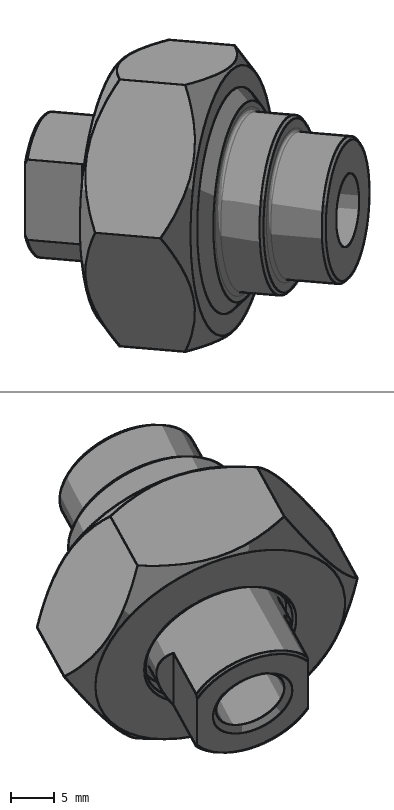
import cadquery as cq
import math

overall_length = 37.0
nut_start_x = 9.5
nut_end_x = 22.98
lip_thickness = 2.22
joint_x = 16.65
neck_start_x = 24.45
spigot_start_x = 30.05
collar_start_x = nut_start_x + lip_thickness

through_bore_diameter = 8.6
thread_diameter = 26.4

nut_across_flats = 32.0
nut_corner_diameter = nut_across_flats / math.cos(math.pi / 6)
nut_face_diameter = 31.45
nut_lip_bore_diameter = 18.5
nut_lip_chamfer = 0.35

tail_diameter = 17.0
tail_end_chamfer = 0.3
tail_fillet = 0.4
bore_mouth_chamfer = 0.7
flats_width = 14.0
flats_length = 6.95
runout_clearance = 0.37

body_neck_diameter = 21.0
body_neck_chamfer = 0.37
body_neck_fillet = 0.5
spigot_diameter = 17.2
spigot_chamfer = 0.37
spigot_fillet = 0.4


def cylinder(start_x, end_x, diameter):
    """Solid cylinder on the X axis between two positions."""
    return cq.Workplane("YZ", origin=(start_x, 0, 0)).circle(diameter / 2).extrude(end_x - start_x)


def revolve_about_x(profile):
    """Turn a closed XY profile about the X axis."""
    return profile.close().revolve(360, (0, 0, 0), (1, 0, 0))


def make_nut():
    """Hexagon with 45 degree conical corners, a lip bore and a thread bore."""
    corner_radius = nut_corner_diameter / 2
    face_radius = nut_face_diameter / 2
    corner_chamfer = corner_radius - face_radius
    hexagon = (
        cq.Workplane("YZ", origin=(nut_start_x, 0, 0))
        .polygon(6, nut_corner_diameter)
        .extrude(nut_end_x - nut_start_x)
    )
    turned_envelope = cylinder(nut_start_x, nut_end_x, nut_corner_diameter).edges().chamfer(corner_chamfer)
    nut = hexagon.intersect(turned_envelope)
    nut = nut.cut(cylinder(nut_start_x, nut_end_x, nut_lip_bore_diameter))
    nut = nut.faces("<X").edges("%CIRCLE").edges(cq.selectors.RadiusNthSelector(0)).chamfer(nut_lip_chamfer)
    return nut.cut(cylinder(collar_start_x, nut_end_x, thread_diameter))


def cut_wrench_flats(tailpiece):
    """Two opposite flats on the tail, each running out at 45 degrees."""
    flat_half_width = flats_width / 2
    runout = tail_diameter / 2 - flat_half_width + runout_clearance
    for side in (1, -1):
        cutter = (
            cq.Workplane("XY")
            .moveTo(0, side * flat_half_width)
            .lineTo(flats_length, side * flat_half_width)
            .lineTo(flats_length + runout, side * (flat_half_width + runout))
            .lineTo(0, side * (flat_half_width + runout))
            .close()
            .extrude(tail_diameter / 2, both=True)
        )
        tailpiece = tailpiece.cut(cutter)
    return tailpiece


def make_tailpiece():
    """Round tail with wrench flats and a collar held behind the nut lip."""
    tail_radius = tail_diameter / 2
    profile = (
        cq.Workplane("XY")
        .lineTo(0, tail_radius - tail_end_chamfer)
        .lineTo(tail_end_chamfer, tail_radius)
        .lineTo(collar_start_x - tail_fillet, tail_radius)
        .radiusArc((collar_start_x, tail_radius + tail_fillet), -tail_fillet)
        .lineTo(collar_start_x, thread_diameter / 2)
        .lineTo(joint_x, thread_diameter / 2)
        .lineTo(joint_x, 0)
    )
    tailpiece = cut_wrench_flats(revolve_about_x(profile))
    tailpiece = tailpiece.cut(cylinder(0, joint_x, through_bore_diameter))
    mouth_radius = through_bore_diameter / 2 + bore_mouth_chamfer
    mouth = cq.Solid.makeCone(
        mouth_radius, through_bore_diameter / 2, bore_mouth_chamfer, cq.Vector(0, 0, 0), cq.Vector(1, 0, 0)
    )
    return tailpiece.cut(cq.Workplane(mouth))


def make_threaded_body():
    """Stepped body with a 45 degree shoulder, filleted neck and end spigot."""
    thread_radius = thread_diameter / 2
    neck_radius = body_neck_diameter / 2
    spigot_radius = spigot_diameter / 2
    shoulder_radius = thread_radius - (neck_start_x - nut_end_x)
    profile = (
        cq.Workplane("XY")
        .moveTo(joint_x, 0)
        .lineTo(joint_x, thread_radius)
        .lineTo(nut_end_x, thread_radius)
        .lineTo(neck_start_x, shoulder_radius)
        .lineTo(neck_start_x, neck_radius + body_neck_fillet)
        .radiusArc((neck_start_x + body_neck_fillet, neck_radius), -body_neck_fillet)
        .lineTo(spigot_start_x - body_neck_chamfer, neck_radius)
        .lineTo(spigot_start_x, neck_radius - body_neck_chamfer)
        .lineTo(spigot_start_x, spigot_radius + spigot_fillet)
        .radiusArc((spigot_start_x + spigot_fillet, spigot_radius), -spigot_fillet)
        .lineTo(overall_length - spigot_chamfer, spigot_radius)
        .lineTo(overall_length, spigot_radius - spigot_chamfer)
        .lineTo(overall_length, 0)
    )
    body = revolve_about_x(profile)
    return body.cut(cylinder(joint_x, overall_length, through_bore_diameter))


nut = make_nut()
tailpiece = make_tailpiece()
threaded_body = make_threaded_body()
bodies = [nut, tailpiece, threaded_body]
result = cq.Compound.makeCompound([body.solids().val() for body in bodies])